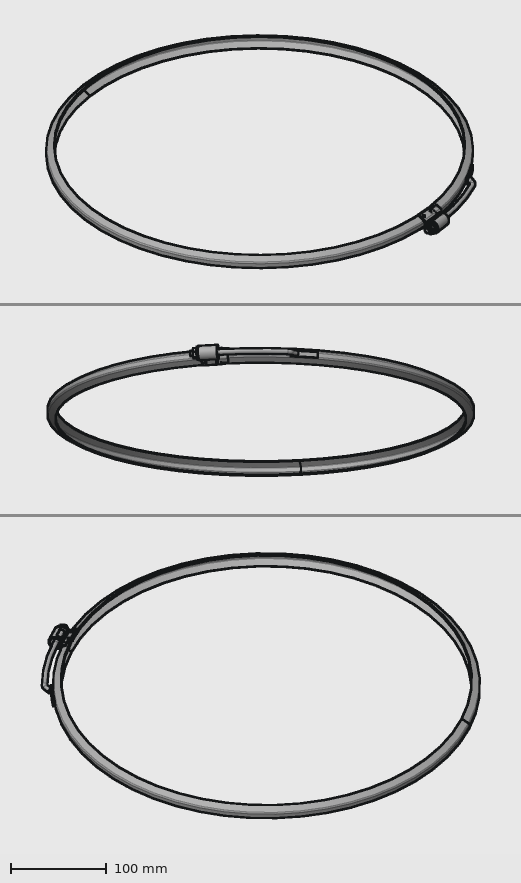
import cadquery as cq
import math

band_outer_radius = 445.32 / 2
band_thickness = 1.5
band_half_height = 8.1
bend_outer_radius = 2.0
bend_turn = 60.0
bend_centre_radius = band_outer_radius - bend_outer_radius
bend_centre_z = 2.15

saddle_thickness = 1.4
saddle_half_height = 18.12 / 2
loop_length = 20.0
loop_setback = 0.8
saddle_length = loop_setback + loop_length
saddle_outer_radius = band_outer_radius + saddle_thickness
tongue_start_x = 217.6
tongue_length = 8.0
weld_hole_diameter = 2.0
weld_hole_x = 218.5
weld_hole_offset = 6.0

loop_end_x = 462.01 - band_outer_radius
loop_outer_radius = 7.65
loop_inner_radius = loop_outer_radius - saddle_thickness
loop_centre_x = loop_end_x - loop_outer_radius
neck_height = 5.0
neck_start_x = 223.0
window_margin = 3.0

bolt_diameter = 6.0
bolt_axis_radius = 231.2
bolt_tip_y = -29.9
shank_end_angle = 17.9
tail_bend_radius = 6.0
tail_turn = 40.0
tail_length = 8.0
tab_thickness = 2.0
tab_start_angle = 18.9
tab_end_angle = 26.3
tab_width = 6.0

nut_flange_diameter = 14.2
nut_flange_thickness = 1.8
nut_across_flats = 10.0
nut_height = 6.0


def polar(radius, angle):
    """Point at a radius and an angle in degrees from the first axis."""
    turn = math.radians(angle)
    return (radius * math.cos(turn), radius * math.sin(turn))


def arc_angle(length):
    """Angle around the Z axis that spans a given Y distance from the +X side of the band."""
    return math.degrees(math.asin(length / band_outer_radius))


def v_sheet(inner_bend, outer_bend, half_height, start_angle, sweep):
    """Bent V sheet, revolved about Z from start_angle through sweep degrees."""
    turn = math.radians(bend_turn)
    leg_length = (half_height - bend_centre_z - outer_bend * math.sin(turn)) / math.cos(turn)

    def bend_point(radius, angle, side):
        r, z = polar(radius, angle)
        return (bend_centre_radius + r, side * (bend_centre_z + z))

    def leg_tip(radius, side):
        r, z = bend_point(radius, bend_turn, side)
        return (r - leg_length * math.sin(turn), z + side * leg_length * math.cos(turn))

    profile = (
        cq.Workplane("XZ")
        .moveTo(*leg_tip(outer_bend, 1))
        .lineTo(*bend_point(outer_bend, bend_turn, 1))
        .threePointArc(bend_point(outer_bend, bend_turn / 2, 1), bend_point(outer_bend, 0, 1))
        .lineTo(*bend_point(outer_bend, 0, -1))
        .threePointArc(bend_point(outer_bend, bend_turn / 2, -1), bend_point(outer_bend, bend_turn, -1))
        .lineTo(*leg_tip(outer_bend, -1))
        .lineTo(*leg_tip(inner_bend, -1))
        .lineTo(*bend_point(inner_bend, bend_turn, -1))
        .threePointArc(bend_point(inner_bend, bend_turn / 2, -1), bend_point(inner_bend, 0, -1))
        .lineTo(*bend_point(inner_bend, 0, 1))
        .threePointArc(bend_point(inner_bend, bend_turn / 2, 1), bend_point(inner_bend, bend_turn, 1))
        .lineTo(*leg_tip(inner_bend, 1))
        .close()
    )
    sheet = profile.revolve(sweep, (0, 0, 0), (0, 1, 0))
    return sheet.rotate((0, 0, 0), (0, 0, 1), start_angle)


def weld_holes():
    """Cutter for the holes through the legs of the saddle and of the band under it."""
    hole_ys = [-saddle_length / 2 + side * weld_hole_offset for side in (-1, 1)]
    return (
        cq.Workplane("XY")
        .pushPoints([(weld_hole_x, y) for y in hole_ys])
        .circle(weld_hole_diameter / 2)
        .extrude(saddle_half_height, both=True)
    )


def band_half(start_angle):
    """Half of the V band."""
    inner_bend = bend_outer_radius - band_thickness
    half = v_sheet(inner_bend, bend_outer_radius, band_half_height, start_angle, 180)
    return half.cut(weld_holes())


def loop_blank(radius):
    """Cylinder along Y over the length of the loop, on the loop axis."""
    loop_end = cq.Workplane("XZ", origin=(loop_centre_x, -loop_setback, 0))
    return loop_end.circle(radius).extrude(loop_length)


def saddle_body():
    """Saddle sheet with its tongue, neck and rolled loop."""
    outer_bend = bend_outer_radius + saddle_thickness
    first_angle = -arc_angle(saddle_length)
    sweep = arc_angle(tongue_length) - first_angle
    saddle = v_sheet(bend_outer_radius, outer_bend, saddle_half_height, first_angle, sweep)

    tongue_trim = cq.Workplane("XY").box(
        tongue_start_x, 2 * tongue_length, 2 * saddle_half_height, centered=(False, False, True)
    )
    saddle = saddle.cut(tongue_trim)

    neck_end = loop_centre_x - loop_inner_radius
    neck = (
        cq.Workplane("XY")
        .box(neck_end - neck_start_x, loop_length, neck_height, centered=(False, False, True))
        .translate((neck_start_x, -saddle_length, 0))
    )
    saddle = saddle.union(neck).union(loop_blank(loop_outer_radius))
    saddle = saddle.cut(loop_blank(loop_inner_radius))

    window = (
        cq.Workplane("XY")
        .workplane(offset=neck_height / 2)
        .moveTo(saddle_outer_radius, -saddle_length)
        .lineTo(loop_centre_x, -saddle_length)
        .lineTo(loop_centre_x, -loop_setback - window_margin)
        .lineTo(saddle_outer_radius, -loop_setback - window_margin)
        .close()
        .extrude(loop_outer_radius)
    )
    saddle = saddle.cut(window)
    return saddle.cut(weld_holes())


def t_bolt_body():
    """Round bolt with a straight end, a curved shank, an inclined tail and a flat tab."""
    shank_end = polar(bolt_axis_radius, shank_end_angle)
    bend_x, bend_y = polar(bolt_axis_radius - tail_bend_radius, shank_end_angle)

    def bend_point(turn):
        x, y = polar(tail_bend_radius, shank_end_angle + turn)
        return (bend_x + x, bend_y + y)

    bolt_path = (
        cq.Workplane("XY")
        .moveTo(bolt_axis_radius, bolt_tip_y)
        .lineTo(bolt_axis_radius, 0)
        .threePointArc(polar(bolt_axis_radius, shank_end_angle / 2), shank_end)
        .threePointArc(bend_point(tail_turn / 2), bend_point(tail_turn))
        .line(*polar(tail_length, shank_end_angle + tail_turn + 90))
    )
    shank = (
        cq.Workplane("XZ", origin=(bolt_axis_radius, bolt_tip_y, 0))
        .circle(bolt_diameter / 2)
        .sweep(bolt_path)
    )

    tab_outer_radius = band_outer_radius + tab_thickness
    tab_middle_angle = (tab_start_angle + tab_end_angle) / 2
    tab = (
        cq.Workplane("XY")
        .workplane(offset=-tab_width / 2)
        .moveTo(*polar(band_outer_radius, tab_start_angle))
        .threePointArc(polar(band_outer_radius, tab_middle_angle), polar(band_outer_radius, tab_end_angle))
        .lineTo(*polar(tab_outer_radius, tab_end_angle))
        .threePointArc(polar(tab_outer_radius, tab_middle_angle), polar(tab_outer_radius, tab_start_angle))
        .close()
        .extrude(tab_width)
    )
    bolt = shank.union(tab)
    inside_band = cq.Workplane("XY").circle(band_outer_radius).extrude(bolt_diameter, both=True)
    return bolt.cut(inside_band)


def nut_body():
    """Hexagon nut with a round flange, bored for the bolt."""
    seat = cq.Workplane("XZ", origin=(bolt_axis_radius, -saddle_length, 0))
    flange = seat.circle(nut_flange_diameter / 2).extrude(nut_flange_thickness)
    hexagon = seat.transformed(rotate=(0, 0, 30)).polygon(6, nut_across_flats, circumscribed=True)
    hexagon = hexagon.extrude(nut_height)
    bore = seat.circle(bolt_diameter / 2).extrude(nut_height)
    return flange.union(hexagon).cut(bore)


band_halves = [band_half(start_angle) for start_angle in (0, 180)]
saddle = saddle_body()
t_bolt = t_bolt_body()
nut = nut_body()

result = cq.Compound.makeCompound(
    [*[half.val() for half in band_halves], *saddle.vals(), *t_bolt.vals(), *nut.vals()]
)